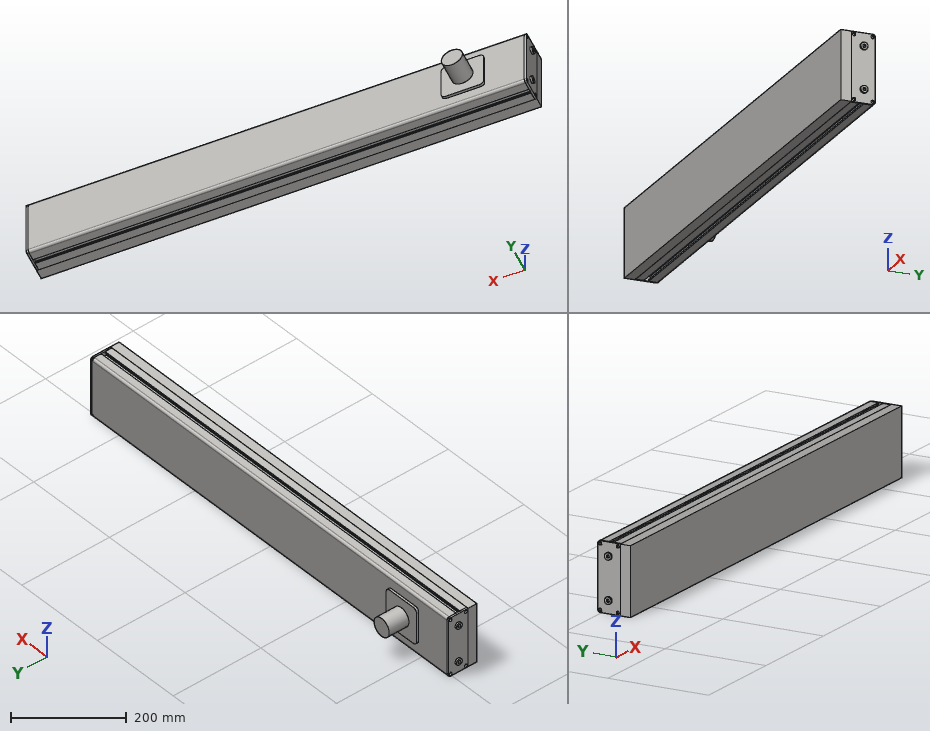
import cadquery as cq

overall_length = 952.0
body_height = 130.0
boss_protrusion = 3.5
body_length = overall_length - 2 * boss_protrusion
half_length = body_length / 2

panel_depth = 20.0
housing_depth = 45.0
flange_thickness = 5.0
barrel_length = 45.0
housing_back = panel_depth + housing_depth
housing_centre_y = panel_depth + housing_depth / 2
flange_back = housing_back + flange_thickness

plate_thickness = 4.0
housing_length = body_length - 2 * plate_thickness
rear_fillet = 5.0
slot_centre_y = 40.0
lip_depth = 3.0
lip_opening = 9.0
channel_depth = 6.0
channel_width = 14.0

boss_diameter = 13.5
boss_spacing = 80.0
boss_centre_y = 43.0
socket_diameter = 5.5
socket_depth = boss_protrusion
screw_hole_diameter = 6.0
screw_inset = 5.0

connector_offset = 118.5
connector_x = connector_offset - half_length
flange_size = 80.0
flange_corner_radius = 8.0
barrel_diameter = 40.0


def make_block(length, depth, height, centre_y, centre_z=0.0):
    """Rectangular block centred on X = 0."""
    return cq.Workplane("XY", origin=(0, centre_y, centre_z)).box(length, depth, height)


def make_panel():
    """Front panel covering the full length of the body."""
    return make_block(body_length, panel_depth, body_height, panel_depth / 2)


def make_t_slot(side):
    """Cutter for one T-slot; side is +1 for the top and -1 for the bottom."""
    lip_z = side * (body_height / 2 - lip_depth / 2)
    channel_z = side * (body_height / 2 - lip_depth - channel_depth / 2)
    lip = make_block(housing_length, lip_opening, lip_depth, slot_centre_y, lip_z)
    channel = make_block(housing_length, channel_width, channel_depth, slot_centre_y, channel_z)
    return lip.union(channel)


def make_housing():
    """Extruded profile with rounded rear edges and a T-slot along the top and the bottom."""
    housing = make_block(housing_length, housing_depth, body_height, housing_centre_y)
    housing = housing.edges("|X and >Y").fillet(rear_fillet)
    for side in (-1, 1):
        housing = housing.cut(make_t_slot(side))
    return housing


def make_end_plate(side):
    """End plate with two socketed bosses and a screw hole in each corner; side is -1 or +1 along X."""
    inner_face = cq.Workplane("YZ", origin=(side * housing_length / 2, 0, 0))
    outer_face = cq.Workplane("YZ", origin=(side * half_length, 0, 0))
    boss_tip = cq.Workplane("YZ", origin=(side * overall_length / 2, 0, 0))

    plate = inner_face.center(housing_centre_y, 0).rect(housing_depth, body_height)
    plate = plate.extrude(side * plate_thickness)
    plate = plate.edges("|X and >Y").fillet(rear_fillet)

    screw_z = body_height / 2 - screw_inset
    screw_points = [
        (y, z)
        for y in (panel_depth + screw_inset, housing_back - screw_inset)
        for z in (-screw_z, screw_z)
    ]
    screw_holes = inner_face.pushPoints(screw_points).circle(screw_hole_diameter / 2)
    plate = plate.cut(screw_holes.extrude(side * plate_thickness))

    boss_points = [(boss_centre_y, z) for z in (-boss_spacing / 2, boss_spacing / 2)]
    bosses = outer_face.pushPoints(boss_points).circle(boss_diameter / 2).extrude(side * boss_protrusion)
    sockets = boss_tip.pushPoints(boss_points).circle(socket_diameter / 2).extrude(-side * socket_depth)
    return plate.union(bosses).cut(sockets)


def make_connector():
    """Round connector barrel on a square flange with rounded corners, behind the housing."""
    flange_face = cq.Workplane("XZ", origin=(connector_x, housing_back, 0))
    barrel_face = cq.Workplane("XZ", origin=(connector_x, flange_back, 0))
    flange = flange_face.rect(flange_size, flange_size).extrude(-flange_thickness)
    flange = flange.edges("|Y").fillet(flange_corner_radius)
    barrel = barrel_face.circle(barrel_diameter / 2).extrude(-barrel_length)
    return flange.union(barrel)


panel = make_panel()
housing = make_housing()
end_plates = [make_end_plate(side) for side in (-1, 1)]
connector = make_connector()

bodies = [panel, housing, *end_plates, connector]
result = cq.Compound.makeCompound([body.solids().val() for body in bodies])